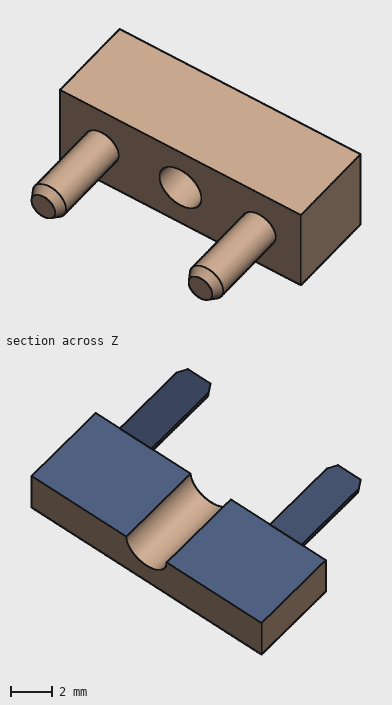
import cadquery as cq

block_length = 14.4
block_side = 5.0
bore_diameter = 2.5

pin_diameter = 2.0
pin_length = 4.91
pin_spacing = 9.39
taper_length = 0.5
taper_inset = 0.29

front_face_y = -block_side / 2


def make_block():
    """Square bar with a bore through its middle along Y."""
    bar = cq.Workplane("XY").box(block_length, block_side, block_side)
    bore = (
        cq.Workplane("XZ")
        .circle(bore_diameter / 2)
        .extrude(block_side / 2, both=True)
    )
    return bar.cut(bore)


def make_pin(center_x):
    """Round pin pointing along -Y from the block face, tapered at its free end."""
    return (
        cq.Workplane("XZ", origin=(center_x, front_face_y, 0))
        .circle(pin_diameter / 2)
        .extrude(pin_length)
        .faces("<Y")
        .chamfer(taper_length, taper_inset)
    )


block = make_block()
pins = [make_pin(side * pin_spacing / 2) for side in (-1, 1)]

result = cq.Compound.makeCompound([block.val(), *[pin.val() for pin in pins]])